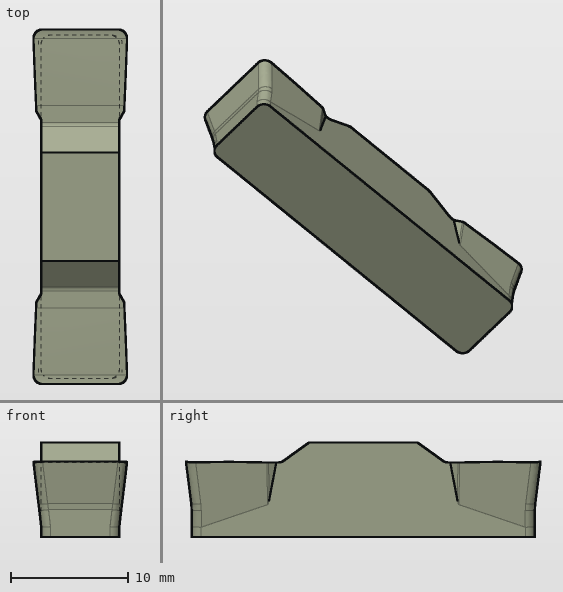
import cadquery as cq
import math

head_width = 8.01
total_length = 30.21
total_height = 8.08

body_width = 6.66
seat_height = 6.38
ridge_half_length = 4.6
ramp_foot_y = 6.97
ramp_blend_radius = 0.6

relief_start_z = 2.6
end_relief_angle = 7.2
flank_relief_angle = 6.68
side_taper_angle = 2.28
corner_radius = 0.8
relief_blend_radius = 4.0

land_start_y = 8.62
lip_length = 0.77
lip_rise = 0.06
lip_sag = 0.015
land_crown = 0.05

shoulder_bottom_y = 8.07
shoulder_bottom_z = 2.85
shoulder_top_y = 7.4
shoulder_corner_y = 8.12
shoulder_radius = 0.3

half_length = total_length / 2
body_half_width = body_width / 2
lip_start_y = half_length - lip_length
lip_height = seat_height + lip_rise
end_relief_slope = math.tan(math.radians(end_relief_angle))
body_half_length = half_length - end_relief_slope * (lip_height - relief_start_z)
body_length = 2 * body_half_length
flank_relief_slope = math.tan(math.radians(flank_relief_angle))
side_taper_slope = math.tan(math.radians(side_taper_angle))


def flank_x(y, z):
    """Half width of a head at distance y from the middle and height z."""
    taper = side_taper_slope * (half_length - corner_radius - y)
    relief = flank_relief_slope * (lip_height - z)
    return head_width / 2 - taper - relief


def make_body():
    """Bar with rounded upright corners and a ridge ramping down to the two seats."""
    bar = cq.Workplane("XY").rect(body_width, body_length).extrude(total_height)
    bar = bar.edges("|Z").fillet(corner_radius)
    side_outline = [
        (-body_half_length, 0),
        (body_half_length, 0),
        (body_half_length, seat_height),
        (ramp_foot_y, seat_height),
        (ridge_half_length, total_height),
        (-ridge_half_length, total_height),
        (-ramp_foot_y, seat_height),
        (-body_half_length, seat_height),
    ]
    envelope = cq.Workplane("YZ").polyline(side_outline).close().extrude(body_half_width, both=True)
    for side in (-1, 1):
        foot = cq.selectors.NearestToPointSelector((0, side * ramp_foot_y, seat_height))
        envelope = envelope.edges(foot).fillet(ramp_blend_radius)
    return bar.intersect(envelope)


def head_plan(z):
    """Sharp-cornered plan outline of a head at height z; its tail lies inside the body."""
    shoulder_lean = (shoulder_top_y - shoulder_bottom_y) / (seat_height - shoulder_bottom_z)
    shoulder_y = shoulder_bottom_y + shoulder_lean * (z - shoulder_bottom_z)
    top_step = flank_x(shoulder_corner_y, seat_height) - body_half_width
    shoulder_run = (shoulder_corner_y - shoulder_top_y) / top_step
    step = flank_x(shoulder_y, z) - body_half_width
    outer_y = shoulder_y + shoulder_run * step / (1 - shoulder_run * side_taper_slope)
    tail_y = shoulder_y - shoulder_run * body_half_width
    end_x = flank_x(half_length, z)
    outer_x = flank_x(outer_y, z)
    return [
        (end_x, half_length),
        (outer_x, outer_y),
        (0, tail_y),
        (-outer_x, outer_y),
        (-end_x, half_length),
    ]


def make_head_envelope():
    """Side outline of a head, swept across the full width."""
    land_middle_y = (land_start_y + lip_start_y) / 2
    lip_middle_y = (lip_start_y + half_length) / 2
    envelope = (
        cq.Workplane("YZ")
        .lineTo(body_half_length, 0)
        .lineTo(body_half_length, relief_start_z)
        .lineTo(half_length, lip_height)
        .threePointArc((lip_middle_y, seat_height + lip_rise / 2 - lip_sag), (lip_start_y, seat_height))
        .threePointArc((land_middle_y, seat_height + land_crown), (land_start_y, seat_height))
        .lineTo(0, seat_height)
        .close()
        .extrude(head_width, both=True)
    )
    bend = cq.selectors.NearestToPointSelector((0, body_half_length, relief_start_z))
    return envelope.edges(bend).fillet(relief_blend_radius)


def make_head():
    """Cutting head at the +Y end, relieved on its flanks and end face."""
    wedge = (
        cq.Workplane("XY")
        .polyline(head_plan(0))
        .close()
        .workplane(offset=total_height)
        .polyline(head_plan(total_height))
        .close()
        .loft(ruled=True)
    )
    head = wedge.intersect(make_head_envelope())
    corner_reach = flank_relief_slope * total_height
    margin = 0.1
    for side in (-1, 1):
        corner_x = side * flank_x(half_length, seat_height / 2)
        corner = cq.selectors.BoxSelector(
            (corner_x - corner_reach, body_half_length - margin, margin),
            (corner_x + corner_reach, half_length, seat_height - margin),
        )
        head = head.edges(corner).fillet(corner_radius)
    for side in (-1, 1):
        shoulder = cq.selectors.NearestToPointSelector(
            (side * body_half_width, shoulder_corner_y, seat_height / 2)
        )
        head = head.edges(shoulder).fillet(shoulder_radius)
    return head


head = make_head()
result = make_body().union(head).union(head.mirror("XZ"))